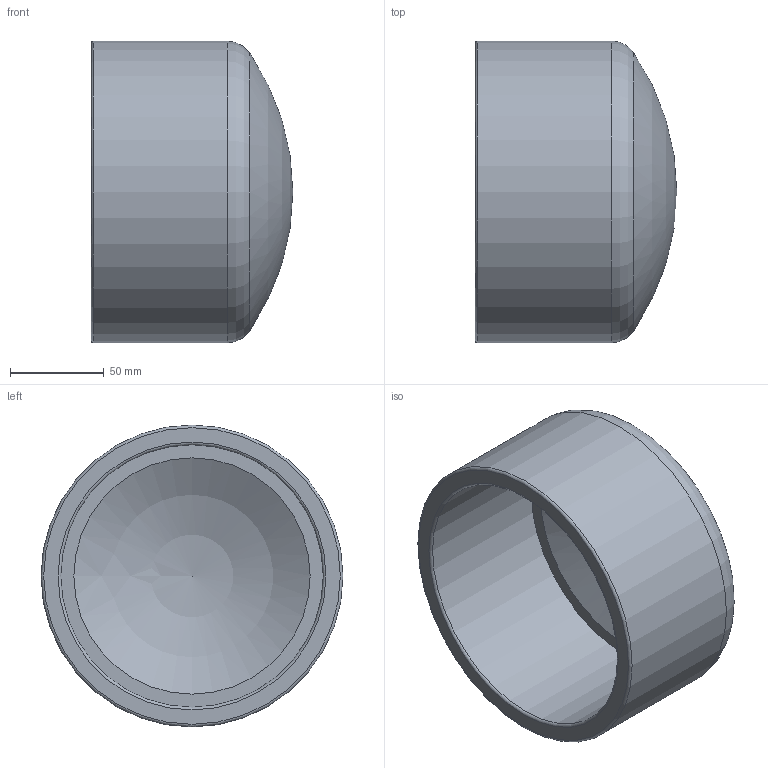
import cadquery as cq
import math

outer_diameter = 161.0
total_length = 107.5

dome_radius = 131.0
shoulder_radius = 14.5
rim_rounding = 1.4

socket_diameter = 140.0
socket_depth = 76.0
dome_opening_diameter = 126.0

dome_center_x = total_length - dome_radius


def sphere_x(radius, distance_from_axis):
    """X on the dome side of a sphere about the dome center, at a given distance from the axis."""
    return dome_center_x + math.sqrt(radius**2 - distance_from_axis**2)


def make_outer_body():
    """Solid cylinder, rounded tangentially into a spherical dome."""
    outer_radius = outer_diameter / 2

    shoulder_center_r = outer_radius - shoulder_radius
    shoulder_center_x = sphere_x(dome_radius - shoulder_radius, shoulder_center_r)
    dome_angle = math.atan2(shoulder_center_r, shoulder_center_x - dome_center_x)
    middle_angle = (dome_angle + math.pi / 2) / 2

    def shoulder_point(angle):
        return (
            shoulder_center_x + shoulder_radius * math.cos(angle),
            shoulder_center_r + shoulder_radius * math.sin(angle),
        )

    dome_middle = (
        dome_center_x + dome_radius * math.cos(dome_angle / 2),
        dome_radius * math.sin(dome_angle / 2),
    )

    profile = (
        cq.Workplane("XY")
        .lineTo(0, outer_radius - rim_rounding)
        .radiusArc((rim_rounding, outer_radius), rim_rounding)
        .lineTo(shoulder_center_x, outer_radius)
        .threePointArc(shoulder_point(middle_angle), shoulder_point(dome_angle))
        .threePointArc(dome_middle, (total_length, 0))
        .close()
    )
    return profile.revolve(360, (0, 0, 0), (1, 0, 0))


def make_cavity():
    """Socket with a rounded mouth, a flat stop ledge, and a hollow under the dome."""
    socket_radius = socket_diameter / 2
    opening_radius = dome_opening_diameter / 2

    hollow_radius = math.hypot(socket_depth - dome_center_x, opening_radius)
    hollow_apex_x = dome_center_x + hollow_radius
    hollow_middle_r = opening_radius / 2
    hollow_middle_x = sphere_x(hollow_radius, hollow_middle_r)

    profile = (
        cq.Workplane("XY")
        .lineTo(0, socket_radius + rim_rounding)
        .radiusArc((rim_rounding, socket_radius), -rim_rounding)
        .lineTo(socket_depth, socket_radius)
        .lineTo(socket_depth, opening_radius)
        .threePointArc((hollow_middle_x, hollow_middle_r), (hollow_apex_x, 0))
        .close()
    )
    return profile.revolve(360, (0, 0, 0), (1, 0, 0))


result = make_outer_body().cut(make_cavity())